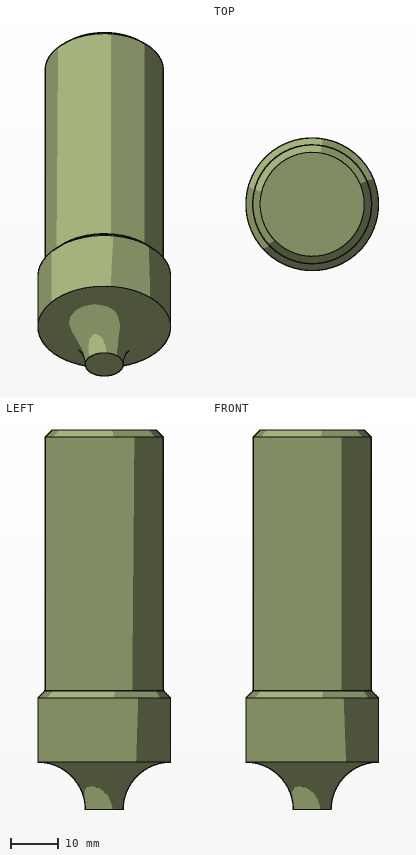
import cadquery as cq
import math

total_length = 80.0
shank_radius = 25.0 / 2
head_radius = 28.0 / 2
tip_radius = 4.0
shank_chamfer = 1.5
collar_height = 15.0
disc_overhang = 0.1
disc_thickness = 0.2

flank_radius = head_radius - tip_radius
collar_top = flank_radius + collar_height
disc_radius = shank_radius + disc_overhang
shank_bottom = collar_top + disc_thickness


def make_head():
    """Solid collar with a chamfered upper rim, flaring in below to a narrow tip."""
    flank_mid_offset = flank_radius * math.sqrt(0.5)
    chamfer_start = collar_top - (head_radius - disc_radius)
    return (
        cq.Workplane("XZ")
        .lineTo(tip_radius, 0)
        .threePointArc(
            (head_radius - flank_mid_offset, flank_mid_offset),
            (head_radius, flank_radius),
        )
        .lineTo(head_radius, chamfer_start)
        .lineTo(disc_radius, collar_top)
        .lineTo(0, collar_top)
        .close()
        .revolve(360, (0, 0), (0, 1))
    )


def make_disc():
    """Thin disc between the head and the shank."""
    return (
        cq.Workplane("XY")
        .workplane(offset=collar_top)
        .circle(disc_radius)
        .extrude(disc_thickness)
    )


def make_shank():
    """Long cylindrical shank standing on the disc, chamfered at its free end."""
    return (
        cq.Workplane("XY")
        .workplane(offset=shank_bottom)
        .circle(shank_radius)
        .extrude(total_length - shank_bottom)
        .faces(">Z")
        .edges()
        .chamfer(shank_chamfer)
    )


head = make_head()
disc = make_disc()
shank = make_shank()

result = cq.Compound.makeCompound([head.val(), disc.val(), shank.val()])